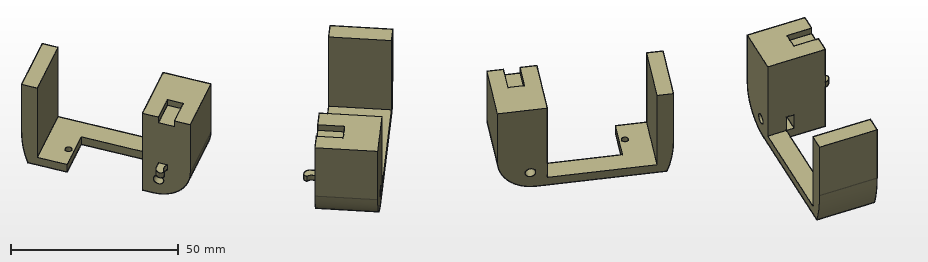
import cadquery as cq

length = 53.2
height = 31.5
depth = 18.8
floor_thickness = 3.15
wall_thickness = 5.0
curve_height = 11.7

wall_foot_inset = 1.95

plate_end = 14.4
bar_width = 6.05
bar_front = depth - bar_width
plate_hole_diameter = 2.0
plate_hole_x = 12.6
plate_hole_y = 6.4

block_width = 15.1
block_left = length - block_width
feature_x = 43.2

cross_hole_diameter = 3.2
nut_width = 5.4
nut_thickness = 2.5
cross_hole_z = floor_thickness + nut_width / 2
nut_pocket_depth = feature_x + nut_width / 2 - block_left

notch_width = 5.0
notch_length = 8.05
notch_depth = 2.3

hook_reach = 4.0
hook_bottom = 10.8
hook_thickness = 2.0
hook_width = 2.85
hook_straight = 1.95
hook_nose_x = 1.6
hook_throat_width = 2.25
hook_throat_reach = 1.5
hook_tip_reach = 3.0
hook_outer_bend = (0.4, 3.3)
hook_tip_bend = (2.55, 3.65)


def box(x, y, z, size_x, size_y, size_z):
    """Box placed by its lowest corner."""
    return cq.Workplane("XY").box(size_x, size_y, size_z, centered=False).translate((x, y, z))


def make_left_wall():
    """Wall whose outer arc is tangent to the vertical face above it."""
    return (
        cq.Workplane("XZ")
        .moveTo(wall_thickness, 0)
        .lineTo(wall_thickness, height)
        .lineTo(0, height)
        .lineTo(0, curve_height)
        .tangentArcPoint((wall_foot_inset, 0), relative=False)
        .close()
        .extrude(-depth)
    )


def make_floor():
    """Wide plate with a small vertical hole, and the bar to the block."""
    plate = box(wall_thickness, 0, 0, plate_end - wall_thickness, depth, floor_thickness)
    bar = box(wall_thickness, bar_front, 0, block_left - wall_thickness, bar_width, floor_thickness)
    hole = (
        cq.Workplane("XY")
        .center(plate_hole_x, plate_hole_y)
        .circle(plate_hole_diameter / 2)
        .extrude(floor_thickness)
    )
    return plate.union(bar).cut(hole)


def make_block():
    """Block with a rounded lower corner, cross hole, nut pocket and notch."""
    block = box(block_left, 0, 0, block_width, depth, height)
    block = block.edges("|Y and >X and <Z").fillet(curve_height)
    cross_hole = (
        cq.Workplane("XZ")
        .center(feature_x, cross_hole_z)
        .circle(cross_hole_diameter / 2)
        .extrude(-depth)
    )
    nut_pocket = box(
        block_left, bar_front - nut_thickness, floor_thickness,
        nut_pocket_depth, nut_thickness, nut_width,
    )
    notch = box(feature_x, 0, height - notch_depth, notch_width, notch_length, notch_depth)
    return block.cut(cross_hole).cut(nut_pocket).cut(notch)


def make_hook():
    """Curved hook pointing forward, with a hollow on its right side."""
    return (
        cq.Workplane("XY")
        .moveTo(0, 0)
        .lineTo(0, -hook_straight)
        .threePointArc((hook_outer_bend[0], -hook_outer_bend[1]), (hook_nose_x, -hook_reach))
        .threePointArc((hook_tip_bend[0], -hook_tip_bend[1]), (hook_width, -hook_tip_reach))
        .threePointArc((hook_throat_width, -hook_throat_reach), (hook_width, 0))
        .close()
        .extrude(hook_thickness)
        .translate((feature_x, 0, hook_bottom))
    )


result = make_left_wall().union(make_floor()).union(make_block()).union(make_hook())